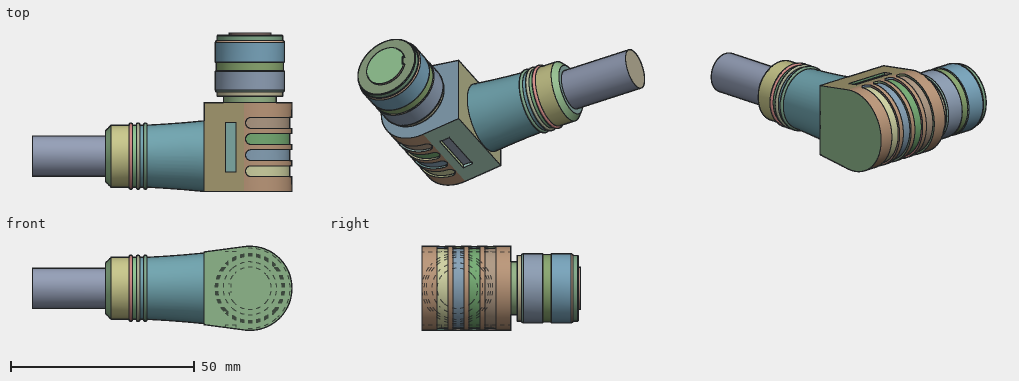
import cadquery as cq
import math


length = 70.8
width = 43.25
head_height = 23.0

cable_diameter = 11.05
boot_start = 19.9
boot_diameter = 17.0
boot_chamfer = 1.55
boot_flare_start = 31.3
boot_flare_sag = 0.105
grip_ring_first = 26.8
grip_ring_pitch = 2.0
grip_ring_count = 3
grip_ring_wire = 1.0
grip_ring_outer_diameter = 18.1

head_start = 46.8
head_start_height = 19.9
head_width = 24.3
boot_end_diameter = 19.3

groove_count = 4
groove_pitch = 4.4
groove_width = 3.0
groove_depth = 0.6
groove_start = 58.1

window_start = 52.7
window_width = 2.9
window_length = 13.45
window_middle_y = 2.4
window_floor_z = 10.05

neck_diameter = 14.5
rim_diameter = 18.0
nut_diameter = 19.0
nut_waist_diameter = 18.5
tip_diameter = 11.6
keyway_width = 2.35
keyway_depth = 0.7
nut_start = 16.2
nut_grip_start = 17.5
waist_start = 23.35
waist_end = 25.5
nut_grip_end = 31.5
nut_end = 33.0
nut_chamfer_length = 0.5
nut_edge_break = 0.2

head_radius = head_height / 2
head_axis_x = length - head_radius
head_front = -boot_end_diameter / 2
head_back = head_front + head_width
head_middle = (head_front + head_back) / 2
tip_end = head_front + width

corner_run = head_axis_x - head_start
corner_rise = head_start_height / 2
corner_distance = math.hypot(corner_run, corner_rise)
slope = math.asin(head_radius / corner_distance) - math.atan2(corner_rise, corner_run)
tangent_x = head_axis_x - head_radius * math.sin(slope)
tangent_z = head_radius * math.cos(slope)


def make_head():
    return (
        cq.Workplane("XZ", origin=(0, head_back, 0))
        .moveTo(head_start, -corner_rise)
        .lineTo(tangent_x, -tangent_z)
        .threePointArc((length, 0), (tangent_x, tangent_z))
        .lineTo(head_start, corner_rise)
        .close()
        .extrude(head_width)
    )


def make_finger_grooves():
    """Slots with a round inner end, wrapping the rounded end at constant depth."""
    slot_length = 2 * (length - groove_start)
    slots = (
        cq.Workplane("XY", origin=(length, head_middle, -head_height))
        .rarray(0.7, groove_pitch, 1, groove_count)
        .slot2D(slot_length, groove_width)
        .extrude(2 * head_height)
    )
    core = (
        cq.Workplane("XZ", origin=(head_axis_x, head_back, 0))
        .circle(head_radius - groove_depth)
        .extrude(head_width)
    )
    return slots.cut(core)


def make_window():
    """Pocket cutter for the upper sloping face."""
    middle_x = window_start + window_width / 2
    return (
        cq.Workplane("XY", origin=(middle_x, window_middle_y, window_floor_z))
        .rect(window_width, window_length)
        .extrude(head_height)
    )


def make_cable_and_boot():
    boot_radius = boot_diameter / 2
    flare_radius = boot_end_diameter / 2
    flare_middle = (
        (boot_flare_start + head_start) / 2,
        (boot_radius + flare_radius) / 2 - boot_flare_sag,
    )
    return (
        cq.Workplane("XY")
        .lineTo(0, cable_diameter / 2)
        .lineTo(boot_start, cable_diameter / 2)
        .lineTo(boot_start, boot_radius - boot_chamfer)
        .lineTo(boot_start + boot_chamfer, boot_radius)
        .lineTo(boot_flare_start, boot_radius)
        .threePointArc(flare_middle, (head_start, flare_radius))
        .lineTo(head_start, 0)
        .close()
        .revolve(360, (0, 0), (1, 0))
    )


def make_grip_ring(x):
    wire_radius = grip_ring_wire / 2
    return (
        cq.Workplane("XY")
        .moveTo(x, grip_ring_outer_diameter / 2 - wire_radius)
        .circle(wire_radius)
        .revolve(360, (0, 0), (1, 0))
    )


def make_coupling_nut():
    neck = neck_diameter / 2
    rim = rim_diameter / 2
    waist = nut_waist_diameter / 2
    grip = nut_diameter / 2
    tip = tip_diameter / 2
    profile = [
        (0, head_middle),
        (neck, head_middle),
        (neck, nut_start),
        (rim - nut_edge_break, nut_start),
        (rim, nut_start + nut_edge_break),
        (rim, nut_grip_start),
        (waist, nut_grip_start),
        (grip, nut_grip_start + nut_chamfer_length),
        (grip, waist_start - nut_edge_break),
        (waist, waist_start),
        (waist, waist_end),
        (grip, waist_end + nut_edge_break),
        (grip, nut_grip_end - nut_chamfer_length),
        (waist, nut_grip_end),
        (rim, nut_grip_end),
        (rim, nut_end - nut_edge_break),
        (rim - nut_edge_break, nut_end),
        (tip, nut_end),
        (tip, tip_end),
        (0, tip_end),
    ]
    return (
        cq.Workplane("XY", origin=(head_axis_x, 0, 0))
        .polyline(profile)
        .close()
        .revolve(360, (0, 0), (0, 1))
    )


def make_keyway():
    """Groove cutter along the -X side of the connector tip."""
    return (
        cq.Workplane("XZ", origin=(head_axis_x - tip_diameter / 2, tip_end, 0))
        .rect(2 * keyway_depth, keyway_width)
        .extrude(tip_end - nut_end)
    )


upper_window = make_window()
head = (
    make_head()
    .cut(make_finger_grooves())
    .cut(upper_window)
    .cut(upper_window.mirror("XY"))
)

result = head.union(make_cable_and_boot()).union(make_coupling_nut().cut(make_keyway()))
for index in range(grip_ring_count):
    result = result.union(make_grip_ring(grip_ring_first + index * grip_ring_pitch))